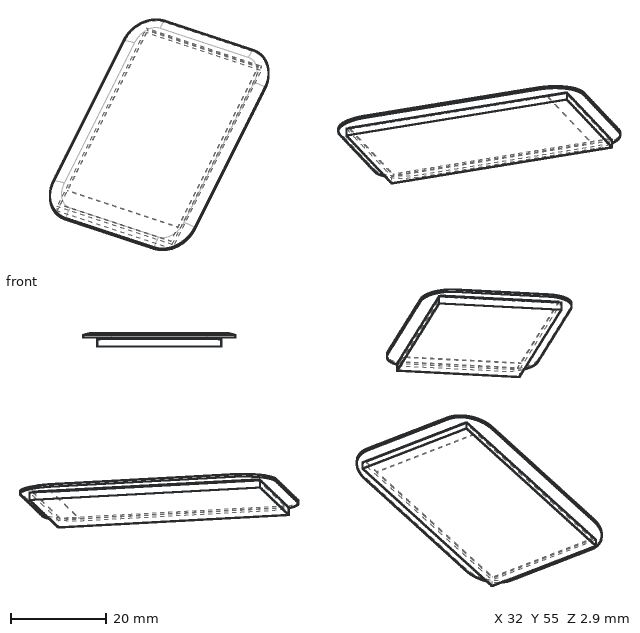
import cadquery as cq
import math

cover_width = 32.0
cover_length = 55.0
corner_x = 6.0
corner_y = 8.0
edge_height = 0.5
rim_width = 2.5
rim_height = 0.5
rim_sections = 6

pad_thickness = 0.3
pad_margin = 0.5
pad_step_y = -20.3
thin_pad_thickness = 0.14

block_width = 26.0
block_length = 49.65
block_height = 1.6

pad_width = block_width - 2 * pad_margin
pad_length = block_length - 2 * pad_margin
cover_bottom = block_height + pad_thickness
rim_bottom = cover_bottom + edge_height
rim_radius = (rim_width**2 + rim_height**2) / (2 * rim_height)
rim_angle = math.asin(rim_width / rim_radius)


def cover_outline(inset, z):
    """Closed rectangle with quarter-ellipse corners, moved inward by inset."""
    half_x = cover_width / 2 - inset
    half_y = cover_length / 2 - inset
    semi_x = corner_x - inset
    semi_y = corner_y - inset
    flat_x = half_x - semi_x
    flat_y = half_y - semi_y

    def corner(sign_x, sign_y, start_angle):
        return cq.Edge.makeEllipse(
            semi_y,
            semi_x,
            cq.Vector(sign_x * flat_x, sign_y * flat_y, z),
            xdir=cq.Vector(0, 1, 0),
            angle1=start_angle,
            angle2=start_angle + 90,
        )

    corners = [corner(1, 1, 270), corner(-1, 1, 0), corner(-1, -1, 90), corner(1, -1, 180)]
    edges = []
    for index, arc in enumerate(corners):
        following = corners[(index + 1) % len(corners)]
        edges.append(arc)
        edges.append(cq.Edge.makeLine(arc.endPoint(), following.startPoint()))
    return cq.Wire.assembleEdges(edges)


def rim_section(index):
    """Outline of the rim at one step along its arc, from the band to the flat top."""
    angle = rim_angle * (1 - index / (rim_sections - 1))
    inset = rim_width - rim_radius * math.sin(angle)
    z = rim_bottom + rim_height - rim_radius * (1 - math.cos(angle))
    return cover_outline(inset, z)


def make_pad():
    pad = cq.Workplane("XY").workplane(offset=block_height).box(
        pad_width, pad_length, pad_thickness, centered=(True, True, False)
    )
    step_length = pad_length / 2 + pad_step_y
    relief = (
        cq.Workplane("XY")
        .workplane(offset=block_height)
        .center(0, pad_step_y - step_length / 2)
        .box(pad_width, step_length, pad_thickness - thin_pad_thickness, centered=(True, True, False))
    )
    return pad.cut(relief)


def make_cover():
    band = cq.Solid.extrudeLinear(cover_outline(0, cover_bottom), [], cq.Vector(0, 0, edge_height))
    rim = cq.Solid.makeLoft([rim_section(index) for index in range(rim_sections)])
    return cq.Workplane(band).union(cq.Workplane(rim)).union(make_pad()).solids()


def make_block():
    return cq.Workplane("XY").box(block_width, block_length, block_height, centered=(True, True, False))


cover = make_cover()
block = make_block()

result = cq.Compound.makeCompound([cover.val(), block.val()])